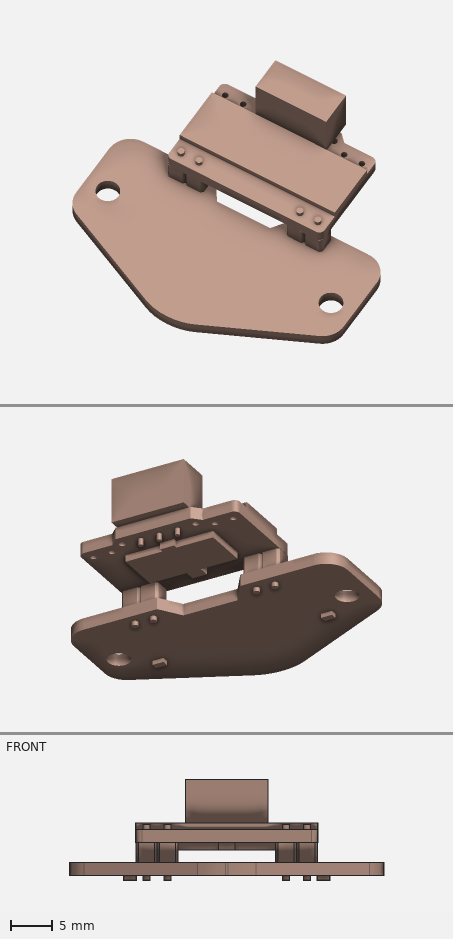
import cadquery as cq


pitch = 2.55
pin_diameter = 0.87
pin_protrusion = 0.57
pin_row_y = 6.95
header_center_x = 8.43

plate_thickness = 1.6
plate_half_width = 19.0
plate_back_y = 8.45
plate_shoulder_y = -4.1
plate_nose_y = -12.07
plate_nose_half_width = 1.95
plate_corner_radius = 3.0
plate_nose_radius = 8.0
mounting_hole_diameter = 3.0
mounting_hole_x = 15.85

notch_floor_y = 5.6
notch_floor_half_width = 3.75
notch_mouth_half_width = 5.77

pad_length = 1.5
pad_width = 0.9
pad_height = 0.57
pad_x = 11.7
pad_y = -2.7

header_height = 2.4
header_chamfer = 0.3

board_bottom_z = plate_thickness + header_height
board_thickness = 1.6
board_top_z = board_bottom_z + board_thickness
board_half_width = 11.0
board_front_y = 5.62
board_back_y = 18.65
board_corner_radius = 0.75
board_hole_diameter = 0.8
board_hole_row_y = pin_row_y + 4 * pitch

tab_half_width = 5.2
tab_length = 1.05

cover_front_y = 8.75
cover_back_y = 16.18
cover_height = 0.8

block_height = 0.9
block_half_width = 6.08
block_front_y = 9.7
block_back_y = 15.72
block_arm_half_width = 1.0
block_arm_front_y = pin_row_y + pitch / 2
block_arm_back_y = 16.3

connector_width = 10.02
connector_front_y = 16.48
connector_back_y = 21.07
connector_height = 6.05
leg_diameter = 0.65
leg_row_y = 18.23
leg_length = board_thickness + block_height
leg_xs = [-pitch, 0, pitch]
end_hole_diameter = 0.85
end_hole_xs = [-2 * pitch, 2 * pitch]

pin_xs = [
    side * header_center_x + offset
    for side in (-1, 1)
    for offset in (-pitch / 2, pitch / 2)
]


def box_between(x_min, x_max, y_min, y_max, z_min, height):
    """Upright box given by its limits in X and Y, its bottom and its height."""
    size = (x_max - x_min, y_max - y_min, height)
    return cq.Workplane().box(*size, centered=False).translate((x_min, y_min, z_min))


def rods(xs, y, diameter, z_min, height):
    """Row of upright cylinders along X, used as pins or as hole cutters."""
    places = [(x, y) for x in xs]
    return cq.Workplane().workplane(offset=z_min).pushPoints(places).circle(diameter / 2).extrude(height)


def make_plate():
    outline = [
        (-plate_half_width, plate_back_y),
        (-plate_half_width, plate_shoulder_y),
        (-plate_nose_half_width, plate_nose_y),
        (plate_nose_half_width, plate_nose_y),
        (plate_half_width, plate_shoulder_y),
        (plate_half_width, plate_back_y),
    ]
    plate = cq.Workplane().polyline(outline).close().extrude(plate_thickness)
    plate = plate.edges("|Z").edges("<X or >X").fillet(plate_corner_radius)
    plate = plate.edges("|Z").edges("<Y").fillet(plate_nose_radius)

    notch = (
        cq.Workplane()
        .polyline([
            (-notch_mouth_half_width, plate_back_y),
            (-notch_floor_half_width, notch_floor_y),
            (notch_floor_half_width, notch_floor_y),
            (notch_mouth_half_width, plate_back_y),
        ])
        .close()
        .extrude(plate_thickness)
    )
    mounting_xs = [-mounting_hole_x, mounting_hole_x]
    plate = plate.cut(notch)
    plate = plate.cut(rods(mounting_xs, 0, mounting_hole_diameter, 0, plate_thickness))
    plate = plate.cut(rods(pin_xs, pin_row_y, pin_diameter, 0, plate_thickness))

    pads = (
        cq.Workplane()
        .pushPoints([(-pad_x, pad_y), (pad_x, pad_y)])
        .rect(pad_length, pad_width)
        .extrude(-pad_height)
    )
    return plate.union(pads)


def make_header(center_x):
    """Two chamfered square blocks side by side, each with a pin passing through it."""
    xs = [center_x - pitch / 2, center_x + pitch / 2]
    blocks = (
        cq.Workplane()
        .workplane(offset=plate_thickness)
        .pushPoints([(x, pin_row_y) for x in xs])
        .eachpoint(
            cq.Workplane()
            .rect(pitch, pitch)
            .extrude(header_height)
            .edges("|Z")
            .chamfer(header_chamfer)
            .val(),
            combine=False,
        )
    )
    pin_length = board_top_z + 2 * pin_protrusion
    header = rods(xs, pin_row_y, pin_diameter, -pin_protrusion, pin_length)
    for block in blocks.vals():
        header = header.union(cq.Workplane(block))
    return header


def make_board():
    board = box_between(
        -board_half_width, board_half_width, board_front_y, board_back_y, board_bottom_z, board_thickness
    )
    board = board.edges("|Z").fillet(board_corner_radius)

    tab_root_half_width = tab_half_width + tab_length
    tab = (
        cq.Workplane()
        .workplane(offset=board_bottom_z)
        .polyline([
            (-tab_root_half_width, board_back_y),
            (-tab_half_width, board_back_y + tab_length),
            (tab_half_width, board_back_y + tab_length),
            (tab_root_half_width, board_back_y),
        ])
        .close()
        .extrude(board_thickness)
    )
    board = board.union(tab)

    holes = [
        (pin_xs, pin_row_y, pin_diameter),
        (pin_xs, board_hole_row_y, board_hole_diameter),
        (end_hole_xs, leg_row_y, end_hole_diameter),
        (leg_xs, leg_row_y, leg_diameter),
    ]
    for xs, y, diameter in holes:
        board = board.cut(rods(xs, y, diameter, board_bottom_z, board_thickness))

    cover = box_between(
        -board_half_width, board_half_width, cover_front_y, cover_back_y, board_top_z, cover_height
    )
    return board.union(cover).union(make_underside_block())


def make_underside_block():
    bottom_z = board_bottom_z - block_height
    body = box_between(
        -block_half_width, block_half_width, block_front_y, block_back_y, bottom_z, block_height
    )
    arm = box_between(
        -block_arm_half_width, block_arm_half_width, block_arm_front_y, block_arm_back_y,
        bottom_z, block_height,
    )
    return body.union(arm)


def make_connector():
    housing = box_between(
        -connector_width / 2, connector_width / 2, connector_front_y, connector_back_y,
        board_top_z, connector_height,
    )
    return housing.union(rods(leg_xs, leg_row_y, leg_diameter, board_top_z - leg_length, leg_length))


plate = make_plate()
board = make_board()
connector = make_connector()
headers = [make_header(side * header_center_x) for side in (-1, 1)]

result = cq.Compound.makeCompound([
    plate.val(),
    board.val(),
    connector.val(),
    *[header.val() for header in headers],
])